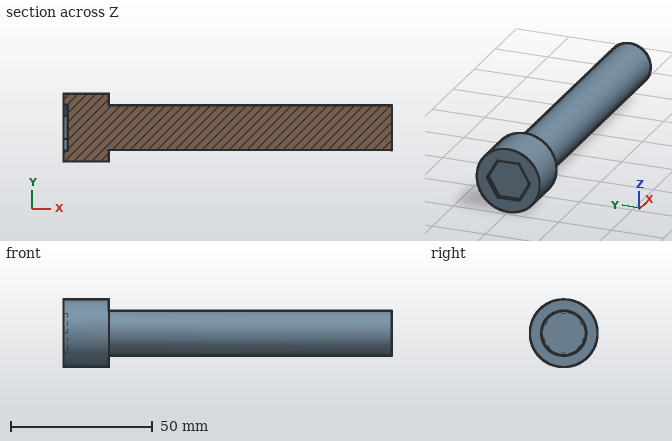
import cadquery as cq
import math

total_length = 116.0
head_diameter = 24.0
head_height = 16.0
shank_diameter = head_height
tip_chamfer = 0.2
hex_across_flats = 14.0
hex_depth = 1.5

hex_across_corners = hex_across_flats / math.cos(math.radians(30))


def make_head():
    return cq.Workplane("YZ").circle(head_diameter / 2).extrude(head_height)


def make_shank():
    shank = cq.Workplane("YZ").circle(shank_diameter / 2).extrude(total_length)
    return shank.faces(">X").chamfer(tip_chamfer)


def make_hex_socket():
    return cq.Workplane("YZ").polygon(6, hex_across_corners).extrude(hex_depth)


result = make_head().union(make_shank()).cut(make_hex_socket())